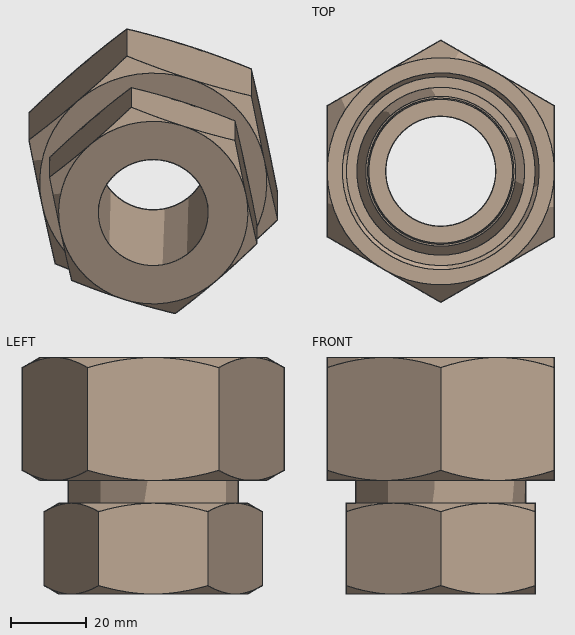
import cadquery as cq
import math

LARGE_ACROSS_FLATS = 60.0
LARGE_HEIGHT = 32.5
SMALL_ACROSS_FLATS = 50.0
SMALL_HEIGHT = 24.0
NECK_DIAMETER = 45.0
NECK_HEIGHT = 6.0
HEX_SIDES = 6
CORNER_CHAMFER_ANGLE = 30.0

BORE_DIAMETER = 29.0
THREAD_BORE_DIAMETER = 49.84
THREAD_MOUTH_DIAMETER = 52.0

CONE_BASE_DIAMETER = 44.35
CONE_SHOULDER_DIAMETER = 39.6
GROOVE_FLOOR_DIAMETER = 36.0
LIP_DIAMETER = 38.66
TIP_DIAMETER = 38.0
TIP_RECESS = 6.7
LIP_HEIGHT = 1.5
SHOULDER_RECESS = 9.9
POCKET_DEPTH = 20.3

neck_bottom = SMALL_HEIGHT
large_bottom = neck_bottom + NECK_HEIGHT
total_height = large_bottom + LARGE_HEIGHT

def revolve_profile(points):
    """Solid of revolution about Z from (radius, height) points."""
    return cq.Workplane("XZ").polyline(points).close().revolve(360, (0, 0, 0), (0, 1, 0))

def hex_nut(across_flats, height, bottom):
    """Hexagon with flats facing +-X and both ends coned down to the flats."""
    flat_radius = across_flats / 2
    corner_radius = flat_radius / math.cos(math.pi / HEX_SIDES)
    drop = (corner_radius - flat_radius) * math.tan(math.radians(CORNER_CHAMFER_ANGLE))
    top = bottom + height
    prism = (
        cq.Workplane("XY", origin=(0, 0, bottom))
        .transformed(rotate=(0, 0, 90))
        .polygon(HEX_SIDES, 2 * corner_radius)
        .extrude(height)
    )
    envelope = revolve_profile([
        (0, bottom),
        (flat_radius, bottom),
        (corner_radius, bottom + drop),
        (corner_radius, top - drop),
        (flat_radius, top),
        (0, top),
    ])
    return prism.intersect(envelope)

def thread_pocket():
    """Threaded mouth of the large nut, leaving the grooved sealing cone standing inside."""
    mouth_chamfer = (THREAD_MOUTH_DIAMETER - THREAD_BORE_DIAMETER) / 2
    pocket_floor = total_height - POCKET_DEPTH
    tip = total_height - TIP_RECESS
    groove_bottom = total_height - SHOULDER_RECESS
    groove_top = tip - LIP_HEIGHT
    return revolve_profile([
        (0, total_height),
        (THREAD_MOUTH_DIAMETER / 2, total_height),
        (THREAD_BORE_DIAMETER / 2, total_height - mouth_chamfer),
        (THREAD_BORE_DIAMETER / 2, pocket_floor),
        (CONE_BASE_DIAMETER / 2, pocket_floor),
        (CONE_SHOULDER_DIAMETER / 2, groove_bottom),
        (GROOVE_FLOOR_DIAMETER / 2, groove_bottom),
        (GROOVE_FLOOR_DIAMETER / 2, groove_top),
        (LIP_DIAMETER / 2, groove_top),
        (TIP_DIAMETER / 2, tip),
        (0, tip),
    ])

small_nut = hex_nut(SMALL_ACROSS_FLATS, SMALL_HEIGHT, 0)
large_nut = hex_nut(LARGE_ACROSS_FLATS, LARGE_HEIGHT, large_bottom)
neck = cq.Workplane("XY", origin=(0, 0, neck_bottom)).circle(NECK_DIAMETER / 2).extrude(NECK_HEIGHT)
through_bore = cq.Workplane("XY").circle(BORE_DIAMETER / 2).extrude(total_height)

body = small_nut.union(neck).union(large_nut)
result = body.cut(thread_pocket()).cut(through_bore)